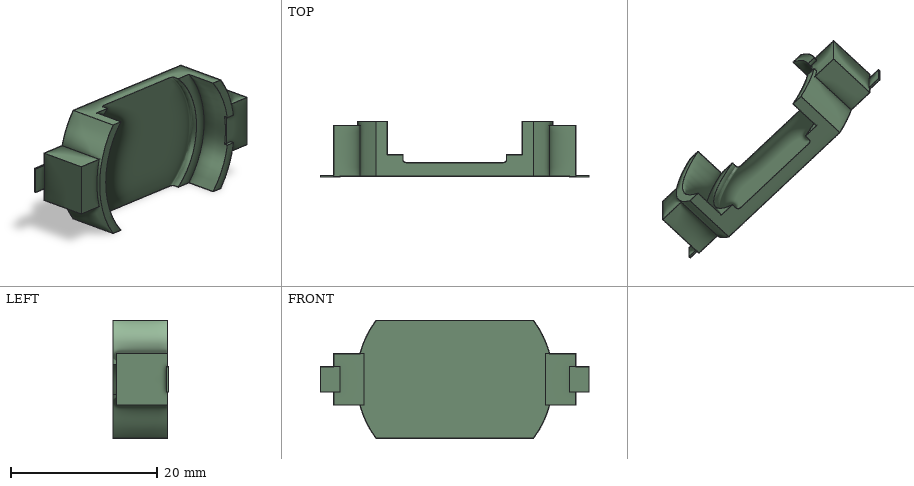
import cadquery as cq

overall_length = 36.7

housing_radius = 13.45
housing_width = 16.1
housing_depth = 7.5

cell_radius = 12.22
ledge_height = 2.97
well_radius = 10.7
floor_thickness = 1.87
well_fillet = 0.35

block_inner_x = 12.4
block_outer_x = 16.55
block_width = 7.0
block_depth = 6.97
tab_inner_x = 15.7
tab_width = 3.5
tab_thickness = 0.25
tab_front_y = -tab_thickness / 2

end_angles = (0, 180)

notch_width = 4.07


def box_between(x_start, x_end, y_start, y_end, width):
    """Box between the given X and Y limits, centred on Z = 0."""
    length = x_end - x_start
    depth = y_end - y_start
    center = ((x_start + x_end) / 2, (y_start + y_end) / 2, 0)
    return cq.Workplane("XY").box(length, depth, width).translate(center)


def disc_between(radius, y_start, y_end):
    """Round disc about the Y axis between the given Y limits."""
    plane = cq.Workplane("XZ", origin=(0, y_start, 0))
    return plane.circle(radius).extrude(y_start - y_end)


def make_block():
    """Terminal block at the +X end."""
    return box_between(block_inner_x, block_outer_x, 0, block_depth, block_width)


def make_terminal():
    """Terminal block and its solder tab, at the +X end."""
    tab = box_between(
        tab_inner_x, overall_length / 2, tab_front_y, tab_front_y + tab_thickness, tab_width
    )
    return make_block().union(tab)


def at_end(body, angle):
    """Turn a +X end body about the Y axis to its own end."""
    return body.rotate((0, 0, 0), (0, 1, 0), angle)


def make_housing():
    """Coin-cell housing with recesses for the two terminal blocks."""
    flat_sides = box_between(-housing_radius, housing_radius, 0, housing_depth, housing_width)
    body = disc_between(housing_radius, 0, housing_depth).intersect(flat_sides)

    cell_space = disc_between(cell_radius, ledge_height, housing_depth)
    well = disc_between(well_radius, floor_thickness, ledge_height)
    well = well.faces("<Y").edges().fillet(well_fillet)
    body = body.cut(cell_space).cut(well)

    notch = box_between(-housing_radius, 0, block_depth, housing_depth, notch_width)
    body = body.cut(notch)

    for angle in end_angles:
        body = body.cut(at_end(make_block(), angle))
    return body


housing = make_housing()
terminals = [at_end(make_terminal(), angle) for angle in end_angles]

terminal_solids = [terminal.solids().val() for terminal in terminals]
result = cq.Compound.makeCompound([housing.solids().val(), *terminal_solids])